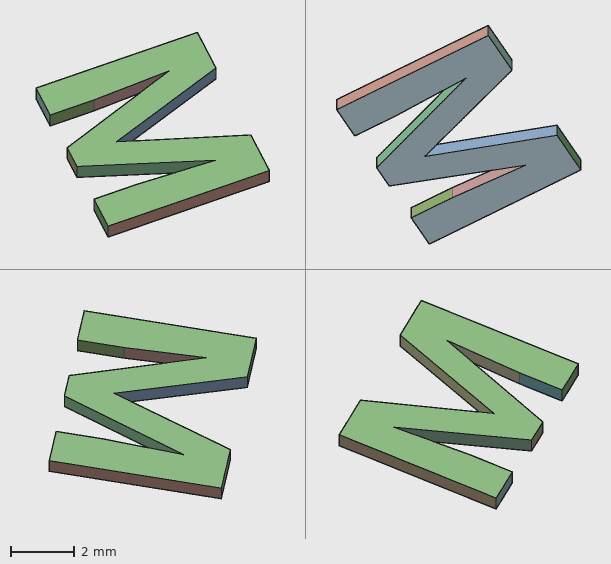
import cadquery as cq

width = 5.82
height = 5.53
thickness = 0.6

foot_width = 1.14
shoulder_width = 1.5
straight_leg_height = 1.5

slot_apex_from_side = 1.03
slot_apex_height = 4.115

v_tip_width = 0.79
v_notch_height = 1.525

half_width = width / 2

right_half = [
    (v_tip_width / 2, 0),
    (half_width - slot_apex_from_side, slot_apex_height),
    (half_width - foot_width, straight_leg_height),
    (half_width - foot_width, 0),
    (half_width, 0),
    (half_width, height),
    (half_width - shoulder_width, height),
]
left_half = [(-x, y) for x, y in reversed(right_half)]
outline = right_half + [(0, v_notch_height)] + left_half

result = cq.Workplane("XY").polyline(outline).close().extrude(thickness)